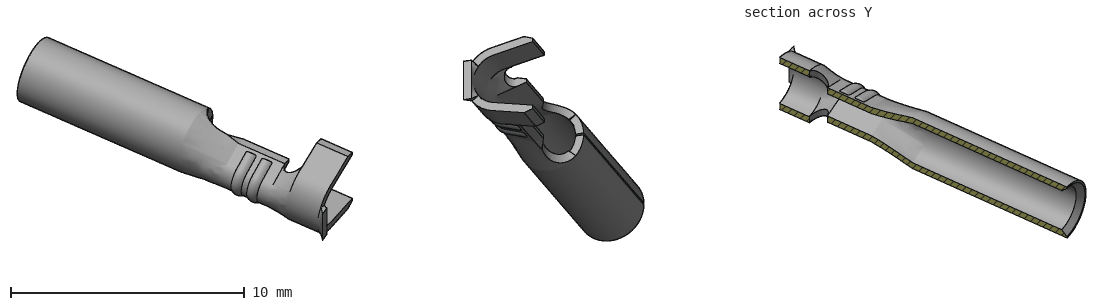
import cadquery as cq
import math


SHEET = 0.37
TUBE_RADIUS = 1.5
BORE_RADIUS = TUBE_RADIUS - SHEET
LEAD_IN = 0.27
SEAM_GAP = 0.09

TUBE_END = 7.92
WIRE_START = 10.02
WIRE_END = 12.28
GRIP_START = 13.2
GRIP_END = 14.74
TOTAL_LENGTH = 14.99

WIRE_RADIUS = 0.74
WIRE_SPLAY = 18.0
WIRE_TIP_Y = 0.41
GRIP_SPLAY = 12.0
GRIP_TIP_Y = 1.55
TIP_BEVEL = 0.39
TIP_THICKNESS = 0.16

BEND_ANGLE = 40.0
BEVEL_ANGLE = 105.0
RIM_ANGLE = 140.0

SCALLOP_RADIUS = 1.15
SCALLOP_FLAT = 0.33
SCALLOP_BOTTOM_Y = 0.13
NOTCH_BOTTOM_Y = -0.4

RIB_CENTERS = (10.745, 11.515)
RIB_WIDTH = 0.5
RIB_HEIGHT = 0.09
RIB_ROOT = 0.1
RIB_TOP_Y = -0.14
RIB_END_ROUND = 0.06

TAB_HALF_WIDTH = 0.9


def polar(radius, angle, center_y=0.0):
    """Point (y, z) on a circle, with the angle measured from -Y towards +Z."""
    turn = math.radians(angle)
    return (center_y - radius * math.cos(turn), radius * math.sin(turn))


def along_wall(start, splay, y):
    """Point at the given y on a wall that leaves start at the splay angle."""
    return (y, start[1] + (y - start[0]) * math.tan(math.radians(splay)))


def section_plane(x):
    return cq.Workplane("YZ", origin=(x, 0, 0))


def mirrored(point):
    return (point[0], -point[1])


def sheet_section(x, outer_bend, wall):
    """Closed section of the bent sheet, symmetric about Z = 0 and level with the tube bottom.

    The wall runs from the outer bend around the tip to the inner bend, as a list
    of (point halfway, end point) pairs. A pair without a halfway point is a line.
    """
    section = section_plane(x).moveTo(*outer_bend)
    for halfway, end in wall:
        section = section.threePointArc(halfway, end) if halfway else section.lineTo(*end)
    inner_bend = wall[-1][1]
    section = section.threePointArc((-BORE_RADIUS, 0), mirrored(inner_bend))
    starts = [outer_bend] + [end for _, end in wall[:-1]]
    for start, (halfway, _) in zip(reversed(starts), reversed(wall)):
        if halfway:
            section = section.threePointArc(mirrored(halfway), mirrored(start))
        else:
            section = section.lineTo(*mirrored(start))
    return section.threePointArc((-TUBE_RADIUS, 0), outer_bend).close()


def barrel_section(x, radius, splay, tip_y):
    """Section of an open barrel whose bottom is level with the tube."""
    center_y = radius - TUBE_RADIUS
    inner_radius = radius - SHEET
    outer_bend = polar(radius, 90 - splay, center_y)
    inner_bend = polar(inner_radius, 90 - splay, center_y)
    inner_tip = along_wall(inner_bend, splay, tip_y)
    wall = [
        (None, along_wall(outer_bend, splay, tip_y - TIP_BEVEL)),
        (None, (tip_y, inner_tip[1] + TIP_THICKNESS)),
        (None, inner_tip),
        (None, inner_bend),
    ]
    return sheet_section(x, outer_bend, wall)


def wire_section(x):
    return barrel_section(x, WIRE_RADIUS, WIRE_SPLAY, WIRE_TIP_Y)


def round_section(x):
    """Section of the opened tube, with as many edges as a barrel section."""

    def tube_arc(radius, start, end):
        return (polar(radius, (start + end) / 2), polar(radius, end))

    wall = [
        tube_arc(TUBE_RADIUS, BEND_ANGLE, BEVEL_ANGLE),
        tube_arc(TUBE_RADIUS, BEVEL_ANGLE, RIM_ANGLE),
        (None, polar(BORE_RADIUS, RIM_ANGLE)),
        tube_arc(BORE_RADIUS, RIM_ANGLE, BEND_ANGLE),
    ]
    outer_bend = polar(TUBE_RADIUS, BEND_ANGLE)
    return sheet_section(x, outer_bend, wall)


def loft_between(first, second):
    wires = [first.val(), second.val()]
    return cq.Workplane(cq.Solid.makeLoft(wires, True))


def make_tube():
    tube = (
        cq.Workplane("XY")
        .moveTo(0, TUBE_RADIUS)
        .lineTo(TUBE_END, TUBE_RADIUS)
        .lineTo(TUBE_END, BORE_RADIUS)
        .lineTo(LEAD_IN, BORE_RADIUS)
        .lineTo(0, BORE_RADIUS + LEAD_IN)
        .close()
        .revolve(360, (0, 0, 0), (1, 0, 0))
    )
    seam = cq.Workplane("XY").box(TUBE_END, TUBE_RADIUS, SEAM_GAP, centered=(False, False, True))
    return tube.cut(seam)


def make_scallop():
    """Cutter that clears the open side between the tube and the wire barrel."""
    center_x = TUBE_END + SCALLOP_RADIUS
    center_y = SCALLOP_BOTTOM_Y + SCALLOP_RADIUS
    diagonal = SCALLOP_RADIUS * math.sqrt(0.5)
    return (
        cq.Workplane("XY")
        .moveTo(TUBE_END, TUBE_RADIUS)
        .lineTo(TUBE_END, center_y)
        .threePointArc((center_x - diagonal, center_y - diagonal), (center_x, SCALLOP_BOTTOM_Y))
        .lineTo(center_x + SCALLOP_FLAT, SCALLOP_BOTTOM_Y)
        .lineTo(WIRE_START, WIRE_TIP_Y)
        .lineTo(WIRE_START, TUBE_RADIUS)
        .close()
        .extrude(2 * TUBE_RADIUS, both=True)
    )


def make_notch():
    """Round-bottomed cutter between the wire barrel and the insulation grip."""
    radius = (GRIP_START - WIRE_END) / 2
    shoulder_y = NOTCH_BOTTOM_Y + radius
    return (
        cq.Workplane("XY")
        .moveTo(WIRE_END, GRIP_TIP_Y)
        .lineTo(WIRE_END, shoulder_y)
        .threePointArc((WIRE_END + radius, NOTCH_BOTTOM_Y), (GRIP_START, shoulder_y))
        .lineTo(GRIP_START, GRIP_TIP_Y)
        .close()
        .extrude(2 * TUBE_RADIUS, both=True)
    )


def rib_profile(x):
    """Circular segment that stands proud of the sheet and is rooted inside it."""
    radius = ((RIB_WIDTH / 2) ** 2 + RIB_HEIGHT**2) / (2 * RIB_HEIGHT)
    root_half = math.sqrt(radius**2 - (radius - RIB_HEIGHT - RIB_ROOT) ** 2)
    root_y = -TUBE_RADIUS + RIB_ROOT
    return (
        cq.Workplane("XY")
        .moveTo(x - root_half, root_y)
        .threePointArc((x, -TUBE_RADIUS - RIB_HEIGHT), (x + root_half, root_y))
        .close()
    )


def make_rib(x):
    """Rounded rib that follows the outside of the wire barrel."""
    center_y = WIRE_RADIUS - TUBE_RADIUS
    bend = 90 - WIRE_SPLAY
    bend_y = polar(WIRE_RADIUS, bend, center_y)[0]
    wall_length = (RIB_TOP_Y - bend_y) / math.cos(math.radians(WIRE_SPLAY))
    axis = ((0, center_y, 0), (-1, center_y, 0))
    curved = rib_profile(x).revolve(bend, *axis)
    straight = rib_profile(x).extrude(wall_length)
    straight = straight.faces(">Z").edges("%CIRCLE").fillet(RIB_END_ROUND)
    half_rib = curved.union(straight.rotate(*axis, bend))
    return half_rib.union(half_rib.mirror("XY"))


def make_tab():
    """Cut-off tab that flattens the bottom of the insulation grip."""
    edge_angle = math.degrees(math.asin(TAB_HALF_WIDTH / TUBE_RADIUS))
    inner_edge = polar(BORE_RADIUS, edge_angle)
    outer_edge = polar(TUBE_RADIUS, edge_angle)
    curved = sheet_section(GRIP_END, outer_edge, [(None, inner_edge)])
    flat = (
        section_plane(TOTAL_LENGTH)
        .moveTo(-TUBE_RADIUS, TAB_HALF_WIDTH)
        .lineTo(-BORE_RADIUS, TAB_HALF_WIDTH)
        .lineTo(-BORE_RADIUS, -TAB_HALF_WIDTH)
        .lineTo(-TUBE_RADIUS, -TAB_HALF_WIDTH)
        .close()
    )
    return loft_between(curved, flat)


neck = loft_between(round_section(TUBE_END), wire_section(WIRE_START)).cut(make_scallop())
wire_barrel = wire_section(WIRE_START).extrude(WIRE_END - WIRE_START)
for rib_x in RIB_CENTERS:
    wire_barrel = wire_barrel.union(make_rib(rib_x))
flare = loft_between(wire_section(WIRE_END), round_section(GRIP_START)).cut(make_notch())
grip = barrel_section(GRIP_START, TUBE_RADIUS, GRIP_SPLAY, GRIP_TIP_Y).extrude(GRIP_END - GRIP_START)

result = make_tube()
for piece in (neck, wire_barrel, flare, grip, make_tab()):
    result = result.union(piece)